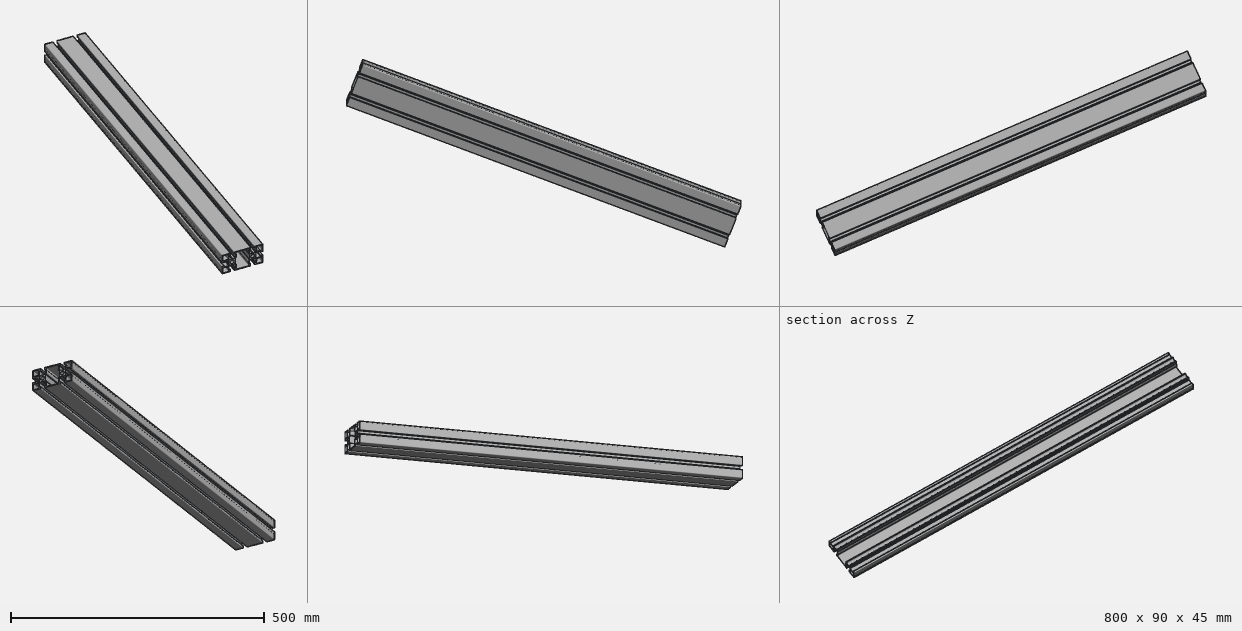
import cadquery as cq

length = 800.0
width = 90.0
height = 45.0
corner_radius = 2.0

slot_mouth = 9.0
slot_cavity = 14.0
lip_depth = 5.0
slot_depth = 15.0
floor_chamfer = 1.0
mouth_radius = 0.4
slot_inset = height / 2

groove_width = 2.0
groove_depth = 1.0

outer_wall = 2.0
lip_wall = 2.0
floor_wall = 2.0
core_bore = 8.0
void_radius = 1.0

core_y = width / 2 - slot_inset

lip_edge = slot_cavity / 2 + lip_wall
floor_edge = slot_cavity / 2 + floor_wall

inner_z = height / 2 - outer_wall


def prism(points):
    """Full-length prism with the given (y, z) outline."""
    return cq.Workplane("YZ").polyline(points).close().extrude(length / 2, both=True)


def top_slot():
    """Slot cutter entering from +Z, centred on y = 0 with its mouth at z = 0."""
    half_mouth = slot_mouth / 2
    half_cavity = slot_cavity / 2
    half_floor = half_cavity - floor_chamfer
    chamfer_top = floor_chamfer - slot_depth
    half_groove = groove_width / 2
    slot = prism([
        (-half_mouth, -lip_depth),
        (-half_cavity, -lip_depth),
        (-half_cavity, chamfer_top),
        (-half_floor, -slot_depth),
        (-half_groove, -slot_depth),
        (0, -slot_depth - groove_depth),
        (half_groove, -slot_depth),
        (half_floor, -slot_depth),
        (half_cavity, chamfer_top),
        (half_cavity, -lip_depth),
        (half_mouth, -lip_depth),
        (half_mouth, 0),
        (-half_mouth, 0),
    ])
    flare = (
        cq.Workplane("YZ")
        .moveTo(-half_mouth - mouth_radius, 0)
        .radiusArc((-half_mouth, -mouth_radius), mouth_radius)
        .lineTo(half_mouth, -mouth_radius)
        .radiusArc((half_mouth + mouth_radius, 0), mouth_radius)
        .close()
        .extrude(length / 2, both=True)
    )
    return slot.union(flare)


def turned_slot(angle, y, z):
    """Slot cutter turned about X and moved so that its mouth is at (y, z)."""
    return top_slot().rotate((0, 0, 0), (1, 0, 0), angle).translate((0, y, z))


def corner_void():
    """Hollow cell inside the +Y +Z corner, between two tapered cavity walls."""
    outer_y = width / 2 - outer_wall
    cell = prism([
        (core_y + floor_edge, floor_edge),
        (outer_y, lip_edge),
        (outer_y, inner_z),
        (core_y + lip_edge, inner_z),
    ])
    return cell.edges("|X").fillet(void_radius)


def central_chamber():
    """Large middle hollow that widens beside the two cores."""
    lip_y = core_y - lip_edge
    floor_y = core_y - floor_edge
    recess_y = core_y - slot_cavity / 2
    recess_z = slot_cavity / 2
    right_side = [
        (lip_y, -inner_z),
        (floor_y, -floor_edge),
        (recess_y, -recess_z),
        (recess_y, recess_z),
        (floor_y, floor_edge),
        (lip_y, inner_z),
    ]
    left_side = [(-y, -z) for y, z in right_side]
    return prism(right_side + left_side).edges("|X").fillet(void_radius)


profile = cq.Workplane("XY").box(length, width, height).edges("|X").fillet(corner_radius)
profile = profile.cut(central_chamber())

for side in (-1, 1):
    profile = profile.cut(turned_slot(-90 * side, side * width / 2, 0))
    bore = cq.Workplane("YZ").center(side * core_y, 0).circle(core_bore / 2)
    profile = profile.cut(bore.extrude(length / 2, both=True))
    for level in (-1, 1):
        slot_angle = 0 if level > 0 else 180
        profile = profile.cut(turned_slot(slot_angle, side * core_y, level * height / 2))
        void = corner_void()
        if side < 0:
            void = void.mirror("XZ")
        if level < 0:
            void = void.mirror("XY")
        profile = profile.cut(void)

result = profile